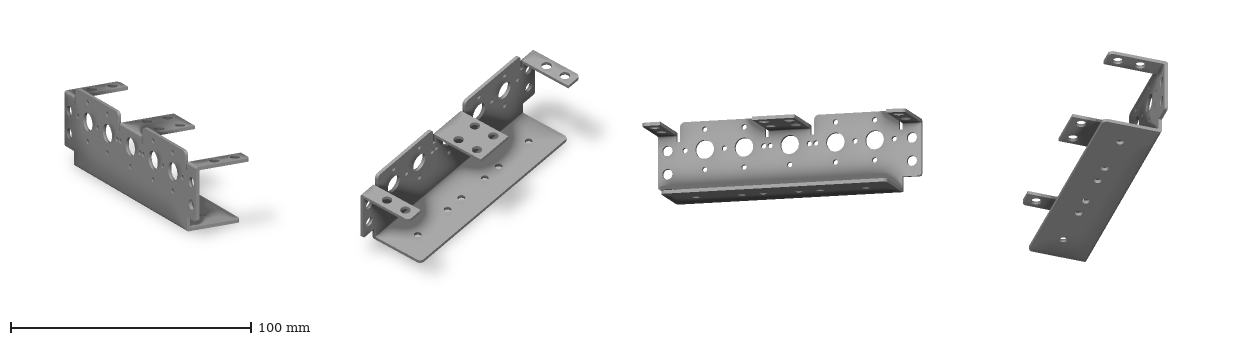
import cadquery as cq

LENGTH = 114.3
DEPTH = 25.7
HEIGHT = 34.7
SHEET = 1.5
BEND_OUTER = 1.0
BEND_INNER = 0.5

BASE_LENGTH = 98.1
FLANGE_TOP = 30.6
EAR_BOTTOM = 6.5
CENTER_TAB_WIDTH = 18.3
SLOT_WIDTH = 1.5
SLOT_BOTTOM = 26.5
CORNER_RADIUS = 2.0
EAR_CORNER_RADIUS = 1.0

SENSOR_DIAMETER = 8.0
SENSOR_Z = 22.7
SENSOR_PITCH = 17.0
SENSOR_PAIR_X = 28.3
SCREW_DIAMETER = 2.2
SCREW_OFFSET = SENSOR_PITCH / 2

MOUNT_DIAMETER = 4.3
MOUNT_PITCH = 9.8
EAR_HOLE_X = 53.0
EAR_HOLE_Z = 13.0
FLANGE_HOLE_Y = 10.9
TAB_HOLE_X = 5.43

BASE_HOLE_DIAMETER = 3.2
BASE_HOLE_Y = 14.3
BASE_HOLE_XS = (7.8, 16.97, 36.86)

HALF_LENGTH = LENGTH / 2
HALF_BASE = BASE_LENGTH / 2
HALF_TAB = CENTER_TAB_WIDTH / 2
EAR_WIDTH = HALF_LENGTH - HALF_BASE
EAR_CENTER_X = HALF_LENGTH - EAR_WIDTH / 2
SIDES = (-1, 1)


def box(x_center, width, y_min, y_max, z_min, z_max):
    """Box centred at x_center and bounded in Y and Z."""
    size = (width, y_max - y_min, z_max - z_min)
    return cq.Workplane("XY").box(*size, centered=(True, False, False)).translate((x_center, y_min, z_min))


def bent_strip(x_center, width, z_bottom, upward):
    """L-shaped strip: a horizontal flange bent from the wall at its top or bottom."""
    strip = box(x_center, width, 0, DEPTH, z_bottom, FLANGE_TOP)
    outer_edge = ">Z" if upward else "<Z"
    strip = strip.faces("<Y").edges(outer_edge).fillet(BEND_OUTER)
    z_min = z_bottom if upward else SHEET
    z_max = FLANGE_TOP - SHEET if upward else FLANGE_TOP
    space = box(x_center, width, SHEET, DEPTH, z_min, z_max)
    return strip.cut(space.faces("<Y").edges(outer_edge).fillet(BEND_INNER))


def base():
    """Lower wall and bottom flange, reaching up to the bottom of the slots."""
    body = bent_strip(0, BASE_LENGTH, 0, False)
    body = body.cut(box(0, BASE_LENGTH, 0, SHEET, SLOT_BOTTOM, FLANGE_TOP))
    return body.faces(">Y").edges("|Z").fillet(CORNER_RADIUS)


def ear(side):
    """End ear with its own upper flange, rounded at its outer corners."""
    body = bent_strip(side * EAR_CENTER_X, EAR_WIDTH, EAR_BOTTOM, True)
    outer_edge = ">X" if side > 0 else "<X"
    body = body.faces(">Y").edges("|Z").edges(outer_edge).fillet(CORNER_RADIUS)
    return body.faces("<Z").edges("|Y").edges(outer_edge).fillet(EAR_CORNER_RADIUS)


def upright_tab(side):
    """Tall wall section between two relief slots."""
    inner_x = HALF_TAB + SLOT_WIDTH
    outer_x = HALF_BASE - SLOT_WIDTH
    center_x = side * (inner_x + outer_x) / 2
    tab = box(center_x, outer_x - inner_x, 0, SHEET, EAR_BOTTOM, HEIGHT)
    return tab.faces(">Z").edges("|Y").fillet(CORNER_RADIUS)


def wall_holes(diameter, points):
    """Round cutters through the wall at (X, Z) points."""
    holes = cq.Workplane("XZ").pushPoints(points).circle(diameter / 2)
    return holes.extrude(-SHEET)


def flange_holes(diameter, points, z_bottom):
    """Round cutters through a flange at (X, Y) points."""
    plane = cq.Workplane("XY").workplane(offset=z_bottom)
    return plane.pushPoints(points).circle(diameter / 2).extrude(SHEET)


def sensor_points():
    """Centres of the central opening and the pair in each upright tab."""
    points = [(0, SENSOR_Z)]
    for side in SIDES:
        for step in SIDES:
            points.append((side * SENSOR_PAIR_X + step * SENSOR_PITCH / 2, SENSOR_Z))
    return points


def screw_points():
    """Screw positions around the openings; neighbours in a pair share one."""
    points = []
    for x, z in sensor_points():
        points.append((x, z - SCREW_OFFSET))
        if x != 0:
            points.append((x, z + SCREW_OFFSET))
    points += [(side * SCREW_OFFSET, SENSOR_Z) for side in SIDES]
    for side in SIDES:
        points += [(side * SENSOR_PAIR_X + step * SENSOR_PITCH, SENSOR_Z) for step in (-1, 0, 1)]
    return points


result = base().union(bent_strip(0, CENTER_TAB_WIDTH, EAR_BOTTOM, True))
for side in SIDES:
    result = result.union(ear(side)).union(upright_tab(side))

ear_points = [(s * EAR_HOLE_X, EAR_HOLE_Z + row * MOUNT_PITCH) for s in SIDES for row in (0, 1)]
upper_points = [
    (s * x, FLANGE_HOLE_Y + row * MOUNT_PITCH)
    for s in SIDES
    for x in (TAB_HOLE_X, EAR_HOLE_X)
    for row in (0, 1)
]
base_points = [(s * x, BASE_HOLE_Y) for s in SIDES for x in BASE_HOLE_XS]
result = result.cut(wall_holes(SENSOR_DIAMETER, sensor_points()))
result = result.cut(wall_holes(SCREW_DIAMETER, screw_points()))
result = result.cut(wall_holes(MOUNT_DIAMETER, ear_points))
result = result.cut(flange_holes(MOUNT_DIAMETER, upper_points, FLANGE_TOP - SHEET))
result = result.cut(flange_holes(BASE_HOLE_DIAMETER, base_points, 0))